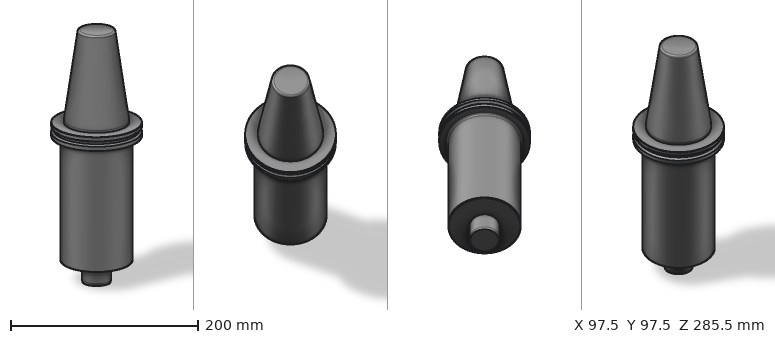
import cadquery as cq
import math

total_height = 285.5
body_bottom = 24.0
flange_bottom = 164.8
flange_top = 180.8
gauge_plane = 184.0

taper_ratio = 7 / 24
gauge_diameter = 70.0
shank_end_rounding = 2.5

flange_diameter = 97.5
flange_chamfer = 0.43
groove_center = 173.0
groove_width = 6.3
groove_diameter = 91.0
groove_flank_angle = 30

body_diameter = 78.0
body_chamfer = 0.9
body_root_fillet = 2.5
pin_diameter = 32.0
pin_chamfer_height = 3.5
pin_chamfer_inset = 0.9


def cylinder(diameter, bottom, top):
    return cq.Workplane("XY").workplane(offset=bottom).circle(diameter / 2).extrude(top - bottom)


def make_shank():
    """Cone above the gauge plane on a short cylindrical neck."""
    length = total_height - gauge_plane
    end_diameter = gauge_diameter - length * taper_ratio
    cone = (
        cq.Workplane("XY")
        .workplane(offset=gauge_plane)
        .circle(gauge_diameter / 2)
        .workplane(offset=length)
        .circle(end_diameter / 2)
        .loft()
        .faces(">Z")
        .edges()
        .fillet(shank_end_rounding)
    )
    return cone.union(cylinder(gauge_diameter, flange_top, gauge_plane))


def make_groove_cutter():
    """Ring with a trapezoid section that opens outward to the flange rim."""
    rim_radius = flange_diameter / 2
    floor_radius = groove_diameter / 2
    rim_half_width = groove_width / 2
    flank_height = (rim_radius - floor_radius) * math.tan(math.radians(groove_flank_angle))
    floor_half_width = rim_half_width - flank_height
    outer_radius = rim_radius + flange_chamfer
    return (
        cq.Workplane("XZ")
        .moveTo(floor_radius, groove_center - floor_half_width)
        .lineTo(rim_radius, groove_center - rim_half_width)
        .lineTo(outer_radius, groove_center - rim_half_width)
        .lineTo(outer_radius, groove_center + rim_half_width)
        .lineTo(rim_radius, groove_center + rim_half_width)
        .lineTo(floor_radius, groove_center + floor_half_width)
        .close()
        .revolve(360, (0, 0, 0), (0, 1, 0))
    )


def make_flange():
    disc = cylinder(flange_diameter, flange_bottom, flange_top)
    return disc.edges().chamfer(flange_chamfer).cut(make_groove_cutter())


def make_body():
    """Cylinder with a chamfered lower rim and a concave fillet under the flange."""
    radius = body_diameter / 2
    root_radius = radius + body_root_fillet
    root_start = flange_bottom - body_root_fillet
    diagonal = body_root_fillet * math.sqrt(0.5)
    return (
        cq.Workplane("XZ")
        .moveTo(0, body_bottom)
        .lineTo(radius - body_chamfer, body_bottom)
        .lineTo(radius, body_bottom + body_chamfer)
        .lineTo(radius, root_start)
        .threePointArc((root_radius - diagonal, root_start + diagonal), (root_radius, flange_bottom))
        .lineTo(0, flange_bottom)
        .close()
        .revolve(360, (0, 0, 0), (0, 1, 0))
    )


def make_pin():
    pin = cylinder(pin_diameter, 0, body_bottom)
    radius = pin_diameter / 2
    profile = (
        cq.Workplane("XZ")
        .moveTo(radius - pin_chamfer_inset, 0)
        .lineTo(radius, 0)
        .lineTo(radius, pin_chamfer_height)
        .close()
        .revolve(360, (0, 0, 0), (0, 1, 0))
    )
    return pin.cut(profile)


result = make_body().union(make_pin()).union(make_flange()).union(make_shank())